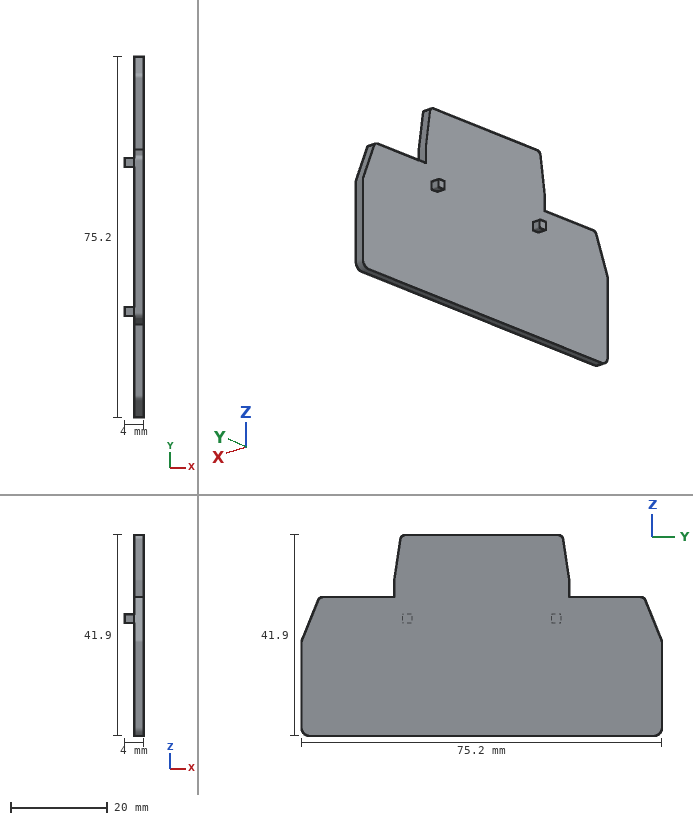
import cadquery as cq

length = 75.15
height = 41.9
total_depth = 4.0
plate_thickness = 2.0

side_height = 19.75
shoulder_height = 29.0
shoulder_half_width = 33.8
neck_half_width = 18.25
neck_height = 32.45
crown_half_width = 16.8
base_radius = 1.8
corner_radius = 1.1

peg_size = 1.9
peg_edge_radius = 0.2
peg_length = total_depth - plate_thickness
peg_spacing = 31.0
peg_height = 24.5


def edges_at(plate, half_width, level):
    """Select the mirrored pair of through-thickness edges at one outline corner."""
    tolerance = 0.1
    selector = None
    for y in (-half_width, half_width):
        box = cq.selectors.BoxSelector(
            (-tolerance, y - tolerance, level - tolerance),
            (plate_thickness + tolerance, y + tolerance, level + tolerance),
        )
        selector = box if selector is None else selector + box
    return plate.edges(selector)


def make_plate():
    half_outline = [
        (length / 2, 0),
        (length / 2, side_height),
        (shoulder_half_width, shoulder_height),
        (neck_half_width, shoulder_height),
        (neck_half_width, neck_height),
        (crown_half_width, height),
    ]
    mirrored = [(-y, z) for y, z in reversed(half_outline)]
    plate = cq.Workplane("YZ").polyline(half_outline + mirrored).close().extrude(plate_thickness)

    rounded_corners = [
        (length / 2, 0, base_radius),
        (length / 2, side_height, corner_radius),
        (shoulder_half_width, shoulder_height, corner_radius),
        (neck_half_width, neck_height, corner_radius),
        (crown_half_width, height, corner_radius),
    ]
    for half_width, level, radius in rounded_corners:
        plate = edges_at(plate, half_width, level).fillet(radius)
    return plate


def make_pegs():
    return (
        cq.Workplane("YZ")
        .pushPoints([(-peg_spacing / 2, peg_height), (peg_spacing / 2, peg_height)])
        .rect(peg_size, peg_size)
        .extrude(-peg_length)
        .edges("|X")
        .fillet(peg_edge_radius)
    )


result = make_plate().union(make_pegs())